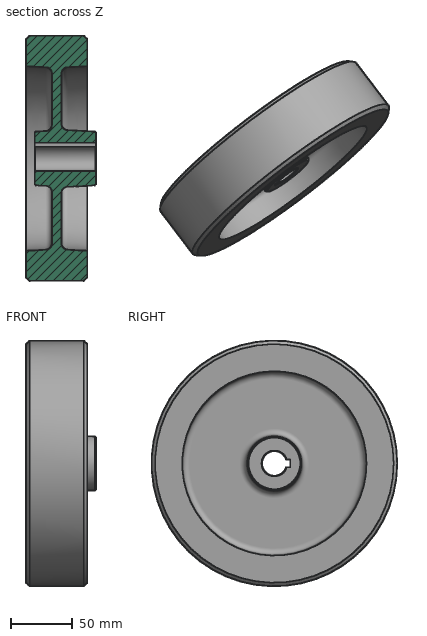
import cadquery as cq
import math

wheel_radius = 100.0
rim_width = 50.0
rim_chamfer = 3.0
recess_mouth_radius = 75.0

web_thickness = 8.0
web_near_x = (rim_width - web_thickness) / 2
web_far_x = web_near_x + web_thickness
web_fillet = 5.0
draft_slope = math.tan(math.radians(3.0))

hub_near_x = 7.0
hub_length = 50.0
hub_far_x = hub_near_x + hub_length
hub_end_radius = 22.0
hub_chamfer = 1.0

bore_radius = 10.0
bore_chamfer = 0.5
key_width = 6.0
key_depth = 2.8


def revolve_about_axis(profile):
    return profile.close().revolve(360, (0, 0, 0), (1, 0, 0))


def make_rim():
    """Solid chamfered disc of the full wheel size."""
    disc = cq.Workplane("YZ").circle(wheel_radius).extrude(rim_width)
    return disc.edges().chamfer(rim_chamfer)


def make_recess(mouth_x, web_x):
    """Round recess in a rim face, narrowing with draft down to the web."""
    floor_radius = recess_mouth_radius - draft_slope * abs(web_x - mouth_x)
    return revolve_about_axis(
        cq.Workplane("XY")
        .moveTo(mouth_x, 0)
        .lineTo(mouth_x, recess_mouth_radius)
        .lineTo(web_x, floor_radius)
        .lineTo(web_x, 0)
    )


def make_hub_half(end_x, web_x):
    """Hub from the web to one end, widening with draft toward the web."""
    root_radius = hub_end_radius + draft_slope * abs(web_x - end_x)
    half = revolve_about_axis(
        cq.Workplane("XY")
        .moveTo(end_x, 0)
        .lineTo(end_x, hub_end_radius)
        .lineTo(web_x, root_radius)
        .lineTo(web_x, 0)
    )
    end_face = "<X" if end_x < web_x else ">X"
    return half.faces(end_face).edges().chamfer(hub_chamfer)


def make_annular_pocket(mouth_x, web_x, hub_end_x):
    """Space between rim and hub on one side of the web, rounded at its floor."""
    floor_face = ">X" if mouth_x < web_x else "<X"
    recess = make_recess(mouth_x, web_x)
    pocket = recess.cut(make_hub_half(hub_end_x, web_x))
    return pocket.faces(floor_face).edges().fillet(web_fillet)


def make_bore():
    """Through bore, flared by a chamfer at both hub ends."""
    mouth_radius = bore_radius + bore_chamfer
    return revolve_about_axis(
        cq.Workplane("XY")
        .moveTo(hub_near_x, 0)
        .lineTo(hub_near_x, mouth_radius)
        .lineTo(hub_near_x + bore_chamfer, bore_radius)
        .lineTo(hub_far_x - bore_chamfer, bore_radius)
        .lineTo(hub_far_x, mouth_radius)
        .lineTo(hub_far_x, 0)
    )


def make_keyway():
    """Straight key slot along the whole bore."""
    slot_reach = bore_radius + key_depth
    return cq.Workplane("XY").box(
        hub_length, slot_reach, key_width, centered=(False, False, True)
    ).translate((hub_near_x, 0, 0))


result = (
    make_rim()
    .cut(make_annular_pocket(0, web_near_x, hub_near_x))
    .cut(make_annular_pocket(rim_width, web_far_x, hub_far_x))
    .union(make_hub_half(hub_far_x, web_far_x))
    .cut(make_bore())
    .cut(make_keyway())
)